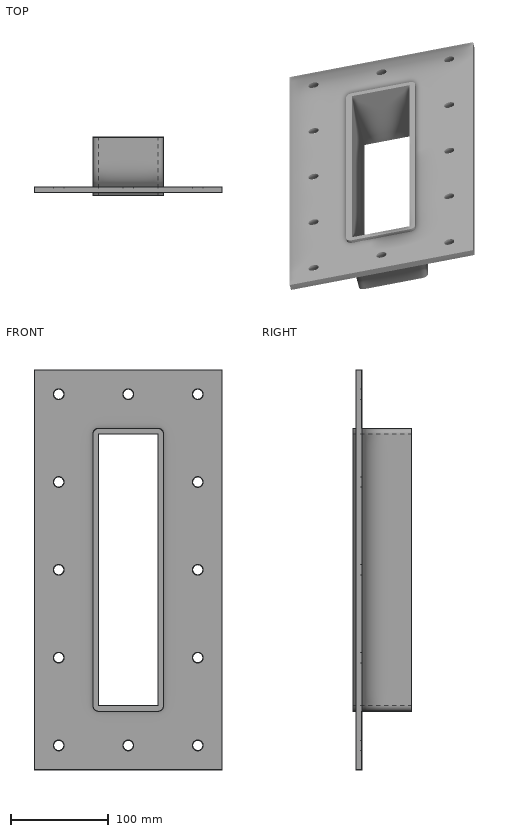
import cadquery as cq

PLATE_WIDTH = 192.5
PLATE_HEIGHT = 410.0
PLATE_THICKNESS = 6.0

FLANGE_MARGIN = 60.0
TUBE_WALL = 6.0
TUBE_CORNER_RADIUS = 6.0
TUBE_LENGTH = 60.0
TUBE_FRONT_PROJECTION = 3.0
TUBE_WIDTH = PLATE_WIDTH - 2 * FLANGE_MARGIN
TUBE_HEIGHT = PLATE_HEIGHT - 2 * FLANGE_MARGIN
BORE_WIDTH = TUBE_WIDTH - 2 * TUBE_WALL
BORE_HEIGHT = TUBE_HEIGHT - 2 * TUBE_WALL

HOLE_DIAMETER = 10.5
HOLE_EDGE_DISTANCE = 25.0
HOLE_COLUMNS = 3
HOLE_ROWS = 5
HOLE_PITCH_X = (PLATE_WIDTH - 2 * HOLE_EDGE_DISTANCE) / (HOLE_COLUMNS - 1)
HOLE_PITCH_Z = (PLATE_HEIGHT - 2 * HOLE_EDGE_DISTANCE) / (HOLE_ROWS - 1)

TUBE_FRONT_Y = -TUBE_FRONT_PROJECTION


def block(width, length, height, front_y):
    """Box centred on X and Z that runs toward +Y from front_y."""
    return cq.Workplane("XY").box(width, length, height, centered=(True, False, True)).translate((0, front_y, 0))


def bolt_hole_positions():
    """Perimeter points of the bolt grid, as (x, z) pairs."""
    positions = []
    for column in range(HOLE_COLUMNS):
        for row in range(HOLE_ROWS):
            on_side = column in (0, HOLE_COLUMNS - 1)
            on_end = row in (0, HOLE_ROWS - 1)
            if on_side or on_end:
                x = (column - (HOLE_COLUMNS - 1) / 2) * HOLE_PITCH_X
                z = (row - (HOLE_ROWS - 1) / 2) * HOLE_PITCH_Z
                positions.append((x, z))
    return positions


def flange_plate():
    """Flat plate with its through bolt holes."""
    plate = block(PLATE_WIDTH, PLATE_THICKNESS, PLATE_HEIGHT, 0)
    holes = (
        cq.Workplane("XZ")
        .pushPoints(bolt_hole_positions())
        .circle(HOLE_DIAMETER / 2)
        .extrude(-PLATE_THICKNESS)
    )
    return plate.cut(holes)


def tube_body():
    """Tube envelope with rounded outer corners, before boring."""
    body = block(TUBE_WIDTH, TUBE_LENGTH, TUBE_HEIGHT, TUBE_FRONT_Y)
    return body.edges("|Y").fillet(TUBE_CORNER_RADIUS)


def tube_bore():
    """Sharp-cornered rectangular opening along the whole tube."""
    return block(BORE_WIDTH, TUBE_LENGTH, BORE_HEIGHT, TUBE_FRONT_Y)


result = flange_plate().union(tube_body()).cut(tube_bore())